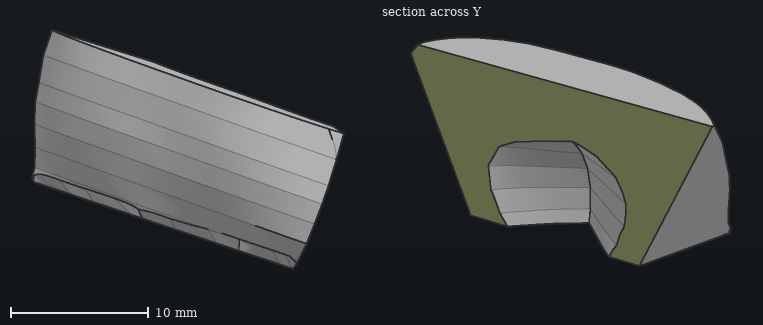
import cadquery as cq

lean_angle = 30.0

base_z = -5.95
floor_z_middle = -5.68
floor_slope = 0.9
roof_z_middle = 5.17
roof_slope = 2.4
crown_z = 5.4
wedge_apex = (0.1, 11.1, 0)
wedge_tip_x = -0.7
wedge_tip_y = -1.7
wedge_half_angle = 45.0
corner_point = (12.65, -3.35, 4.95)
corner_normal = (36.0, -29.3, 16.0)
trim_size = 56.8

face_stations = (-15.35, -11.93, -7.95, -3.98, 0, 3.98, 7.95, 11.93, 15.35)
face_rows = (
    (base_z, (0.28, -1.82, -1.55, -2.0, -1.85, -1.28, -1.42, -0.28, 2.27)),
    (-4.83, (0.43, -1.95, -2.33, -2.75, -2.55, -1.93, -1.93, -1.25, 1.42)),
    (-3.4, (0.15, -2.53, -3.38, -3.6, -3.38, -3.27, -3.32, -2.7, -0.43)),
    (-1.85, (-0.85, -3.2, -4.3, -4.4, -4.25, -4.35, -4.23, -3.38, -1.55)),
    (-0.28, (-1.42, -3.75, -4.85, -5.1, -4.83, -4.97, -4.85, -3.92, -2.05)),
    (1.15, (-1.7, -4.0, -5.17, -5.37, -5.17, -5.37, -5.17, -4.1, -2.22)),
    (3.12, (-2.27, -4.25, -5.42, -5.77, -5.6, -5.62, -5.25, -4.1, -1.15)),
    (crown_z, (-1.7, -4.45, -5.37, -5.8, -5.82, -5.77, -5.17, -3.7, 0.7)),
)

hollow_stations = (-10.8, -7.95, -4.25, -1.22, 2.85, 5.68, 7.95, 10.8)
ridge_index = 3
hollow_at_base = (7.2, 5.6, 3.35, 1.16, 2.73, 4.12, 5.45, 6.85)
hollow_at_crown = (3.75, 2.3, 1.68, 1.9, 1.95, 1.75, 2.0, 3.27)
hollow_bow = 2.7

undercut_height = 0.82
undercut_stations = (-17.05, -12.35, -9.9, -7.25, -4.05, -1.82, 1.05, 4.3, 7.33, 10.25, 11.4, 17.05)
undercut_top = (-2.0, -2.0, -2.3, -2.39, -2.87, -2.95, -2.53, -2.0, -1.93, -1.65, -1.48, -1.42)
undercut_floor = (-1.55, -1.6, 0.05, -0.7, -0.05, -1.7, -1.28, -0.25, -1.55, -0.17, -0.2, -0.28)
undercut_reach_y = -11.35


def hollow_depths(z):
    """Depth of the hollow face at every hollow station, at height z."""
    rise = (z - base_z) / (crown_z - base_z)
    bow = hollow_bow * 4 * rise * (1 - rise)
    return [low + (high - low) * rise - bow for low, high in zip(hollow_at_base, hollow_at_crown)]


def body_section(z, face_depths):
    """Closed horizontal outline: convex curve, two ends, and two hollow curves meeting at the ridge."""
    face = [cq.Vector(x, y, z) for x, y in zip(face_stations, face_depths)]
    hollow = [cq.Vector(x, y, z) for x, y in zip(hollow_stations, hollow_depths(z))]
    edges = [
        cq.Edge.makeSpline(face),
        cq.Edge.makeLine(face[-1], hollow[-1]),
        cq.Edge.makeSpline(hollow[ridge_index:][::-1]),
        cq.Edge.makeSpline(hollow[:ridge_index + 1][::-1]),
        cq.Edge.makeLine(hollow[0], face[0]),
    ]
    return cq.Wire.assembleEdges(edges)


def undercut_section(z, depths):
    """Closed zigzag outline covering everything outside the lower edge at height z."""
    zigzag = [cq.Vector(x, y, z) for x, y in zip(undercut_stations, depths)]
    outside = [
        cq.Vector(undercut_stations[-1], undercut_reach_y, z),
        cq.Vector(undercut_stations[0], undercut_reach_y, z),
    ]
    return cq.Wire.makePolygon(zigzag + outside, close=True)


def make_body():
    """Untrimmed shell, banded between successive sections."""
    sections = [body_section(z, depths) for z, depths in face_rows]
    return cq.Workplane(cq.Solid.makeLoft(sections, True))


def make_wedge():
    """Right-angled wedge whose two flanks are the side faces of the part."""
    block = cq.Workplane().box(trim_size, trim_size, trim_size, centered=(False, False, True))
    turned = block.rotate((0, 0, 0), (0, 0, 1), -90 - wedge_half_angle)
    tipped = turned.rotate((0, 0, 0), (1, 0, 0), wedge_tip_x).rotate((0, 0, 0), (0, 1, 0), wedge_tip_y)
    return tipped.translate(wedge_apex)


def make_roof_trim():
    """Block above the sloped top face."""
    block = cq.Workplane().box(trim_size, trim_size, trim_size, centered=(True, True, False))
    return block.rotate((0, 0, 0), (1, 0, 0), roof_slope).translate((0, 0, roof_z_middle))


def make_corner_trim():
    """Block outside the flat on the +X top corner."""
    plane = cq.Plane(origin=corner_point, normal=corner_normal)
    return cq.Workplane(plane).box(trim_size, trim_size, trim_size, centered=(True, True, False))


def make_floor_trim():
    """Zigzag undercut standing on the block below the bottom face, tilted together."""
    undercut = cq.Solid.makeLoft(
        [undercut_section(0, undercut_floor), undercut_section(undercut_height, undercut_top)], True
    )
    below = cq.Workplane().box(trim_size, trim_size, trim_size).translate((0, 0, -trim_size / 2))
    tool = below.union(cq.Workplane(undercut))
    return tool.rotate((0, 0, 0), (0, 1, 0), -floor_slope).translate((0, 0, floor_z_middle))


upright = make_body().intersect(make_wedge())
for make_trim in (make_roof_trim, make_corner_trim, make_floor_trim):
    upright = upright.cut(make_trim())
result = upright.rotate((0, 0, 0), (1, 0, 0), -lean_angle)